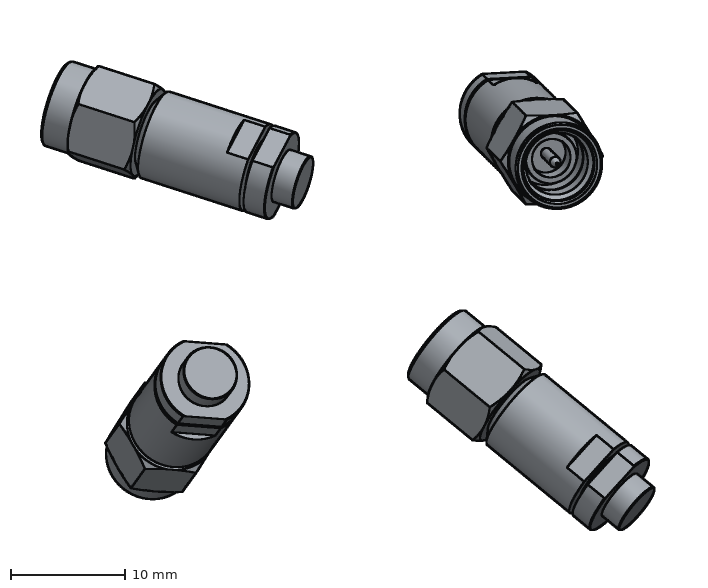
import cadquery as cq
import math


nut_collar_radius = 3.9
nut_collar_chamfer_length = 0.18
nut_collar_chamfer_depth = 0.17
hex_start = 2.6
hex_end = 8.6
hex_sides = 6
hex_across_flats = 8.0
hex_corner_radius = hex_across_flats / math.sqrt(3)
hex_end_face_radius = 4.02
hex_chamfer_angle = math.radians(30)
hex_chamfer_length = (hex_corner_radius - hex_end_face_radius) * math.tan(hex_chamfer_angle)

mouth_radius = 3.4
counterbore_radius = 3.2
mouth_chamfer_length = 0.2
counterbore_depth = 0.6
thread_bore_radius = 2.8
counterbore_cone_length = 0.4
thread_bore_end = 2.9
relief_radius = 2.85
socket_depth = 5.0

conductor_outer_radius = 2.27
conductor_inner_radius = 1.73
conductor_front = 3.1
conductor_floor = socket_depth
pin_radius = 0.48
pin_tip_radius = 0.1
pin_tip = 0.9
pin_cone_length = 0.7

body_radius = 4.0
body_neck_radius = 3.0
body_cone_end = 9.3
body_end = 18.9
neck_radius = 2.63
ring_start = 19.3
ring_end = 21.3
ring_chamfer = 0.06
tail_radius = 2.41
tail_end = 23.3
tail_chamfer = 0.06
flat_height = 3.48
flat_start = 16.9


def revolve_profile(points):
    """Revolve an (x, radius) outline about the X axis."""
    return cq.Workplane("XY").polyline(points).close().revolve(360, (0, 0, 0), (1, 0, 0))


def cylinder_along_x(radius, start, end):
    return cq.Workplane("YZ").workplane(offset=start).circle(radius).extrude(end - start)


def make_nut():
    collar = revolve_profile([
        (0, 0),
        (0, nut_collar_radius - nut_collar_chamfer_depth),
        (nut_collar_chamfer_length, nut_collar_radius),
        (hex_start, nut_collar_radius),
        (hex_start, 0),
    ])
    hexagon = (
        cq.Workplane("YZ").workplane(offset=hex_start)
        .polygon(hex_sides, 2 * hex_corner_radius)
        .extrude(hex_end - hex_start)
    )
    chamfer_envelope = revolve_profile([
        (hex_start, 0),
        (hex_start, hex_end_face_radius),
        (hex_start + hex_chamfer_length, hex_corner_radius),
        (hex_end - hex_chamfer_length, hex_corner_radius),
        (hex_end, hex_end_face_radius),
        (hex_end, 0),
    ])
    return collar.union(hexagon.intersect(chamfer_envelope))


def make_socket():
    return revolve_profile([
        (0, 0),
        (0, mouth_radius),
        (mouth_chamfer_length, counterbore_radius),
        (counterbore_depth, counterbore_radius),
        (counterbore_depth + counterbore_cone_length, thread_bore_radius),
        (thread_bore_end, thread_bore_radius),
        (thread_bore_end, relief_radius),
        (socket_depth, relief_radius),
        (socket_depth, 0),
    ])


def make_outer_conductor():
    sleeve = cylinder_along_x(conductor_outer_radius, conductor_front, socket_depth)
    return sleeve.cut(cylinder_along_x(conductor_inner_radius, conductor_front, conductor_floor))


def make_pin():
    return revolve_profile([
        (pin_tip, 0),
        (pin_tip, pin_tip_radius),
        (pin_tip + pin_cone_length, pin_radius),
        (conductor_floor, pin_radius),
        (conductor_floor, 0),
    ])


def make_body():
    body = revolve_profile([
        (hex_end, 0),
        (hex_end, body_neck_radius),
        (body_cone_end, body_radius),
        (body_end, body_radius),
        (body_end, neck_radius),
        (ring_start, neck_radius),
        (ring_start, body_radius),
        (ring_end - ring_chamfer, body_radius),
        (ring_end, body_radius - ring_chamfer),
        (ring_end, tail_radius),
        (tail_end - tail_chamfer, tail_radius),
        (tail_end, tail_radius - tail_chamfer),
        (tail_end, 0),
    ])
    flat_length = ring_end - flat_start
    flat_depth = body_radius - flat_height
    for side in (1, -1):
        body = body.cut(
            cq.Workplane("XY")
            .box(flat_length, 2 * body_radius, flat_depth)
            .translate((flat_start + flat_length / 2, 0, side * (flat_height + flat_depth / 2)))
        )
    return body


result = (
    make_nut()
    .union(make_body())
    .cut(make_socket())
    .union(make_outer_conductor())
    .union(make_pin())
)